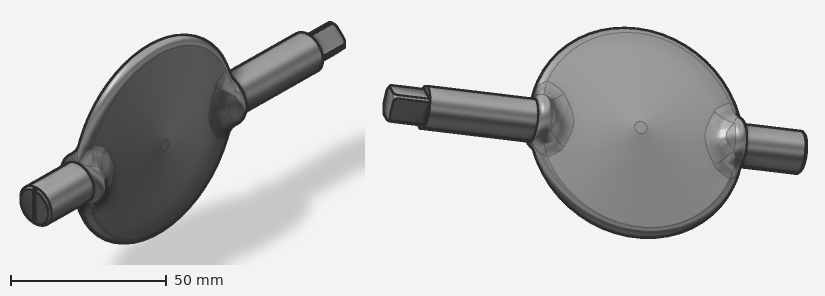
import cadquery as cq
import math

shaft_radius = 7.0
shaft_front_y = -55.8
shaft_shoulder_y = 71.7
front_bevel = 0.8

slot_width = 1.1
slot_depth = 0.8

drive_end_y = 83.7
drive_across_flats = 9.5
drive_corner_radius = 6.1
drive_end_rounding = 1.3

disc_radius = 36.0
disc_flat_radius = 2.1
disc_center_half_thickness = 5.0
disc_rim_radius = 2.7

collar_diameter = 18.0
collar_radius = collar_diameter / 2
bead_radius = 2.5
collar_fillet = 8.4
collar_face_y = math.sqrt(disc_radius**2 - shaft_radius**2)
bead_center_y = collar_face_y - bead_radius
blend_limit_y = bead_center_y + bead_radius / 4


def make_disc():
    """Double cone with small flat centres and a round rim, tangent to the cones."""
    rim_center = disc_radius - disc_rim_radius
    run = rim_center - disc_flat_radius
    sight_angle = math.atan2(disc_center_half_thickness, run)
    sight_length = math.hypot(disc_center_half_thickness, run)
    tangent_angle = math.pi / 2 - (sight_angle - math.asin(disc_rim_radius / sight_length))
    tangent_r = rim_center + disc_rim_radius * math.cos(tangent_angle)
    tangent_x = disc_rim_radius * math.sin(tangent_angle)
    disc = (
        cq.Workplane("XY")
        .moveTo(-disc_center_half_thickness, 0)
        .lineTo(-disc_center_half_thickness, disc_flat_radius)
        .lineTo(-tangent_x, tangent_r)
        .threePointArc((0, disc_radius), (tangent_x, tangent_r))
        .lineTo(disc_center_half_thickness, disc_flat_radius)
        .lineTo(disc_center_half_thickness, 0)
        .close()
        .revolve(360, (0, 0, 0), (1, 0, 0))
    )
    return disc.rotate((0, 0, 0), (1, 0, 0), 90)


def make_collar():
    """Round bead on the +Y side that narrows inward as a 45 degree cone."""
    bead_r = collar_radius - bead_radius
    half_diagonal = bead_radius * math.sqrt(0.5)
    cone_start_r = bead_r + half_diagonal
    cone_start_y = bead_center_y - half_diagonal
    collar = (
        cq.Workplane("XY")
        .moveTo(0, collar_face_y)
        .lineTo(bead_r, collar_face_y)
        .threePointArc(
            (bead_r + half_diagonal, bead_center_y + half_diagonal),
            (collar_radius, bead_center_y),
        )
        .threePointArc(
            (
                bead_r + bead_radius * math.cos(math.pi / 8),
                bead_center_y - bead_radius * math.sin(math.pi / 8),
            ),
            (cone_start_r, cone_start_y),
        )
        .lineTo(0, cone_start_y - cone_start_r)
        .close()
        .revolve(360, (0, 0, 0), (0, 1, 0))
    )
    return collar.rotate((0, 0, 0), (0, 1, 0), 90)


def make_cylinder(radius, start_y, end_y):
    return cq.Workplane("XZ", origin=(0, start_y, 0)).circle(radius).extrude(start_y - end_y)


def make_drive():
    """Square end turned onto its corners, with the corners cut to a cylinder."""
    length = drive_end_y - shaft_shoulder_y
    square = (
        cq.Workplane("XY")
        .box(drive_across_flats, length, drive_across_flats)
        .rotate((0, 0, 0), (0, 1, 0), 45)
        .translate((0, shaft_shoulder_y + length / 2, 0))
    )
    envelope = make_cylinder(drive_corner_radius, shaft_shoulder_y, drive_end_y)
    return square.intersect(envelope.faces(">Y").edges().fillet(drive_end_rounding))


def is_blend_edge(edge):
    """Edges where the collar meets the disc, short of the outer half of the bead."""
    on_joint = edge.geomType() == "BSPLINE" and edge.Center().y > 0
    return on_joint and edge.BoundingBox().ymax < blend_limit_y


def make_body():
    """Disc cut flat at both collar faces, with a collar blended into it on each side."""
    trim = cq.Workplane("XY").box(3 * disc_radius, 2 * collar_face_y, 3 * disc_radius)
    joined = make_disc().intersect(trim).union(make_collar())
    blend_edges = [edge for edge in joined.edges().vals() if is_blend_edge(edge)]
    blended = joined.newObject(blend_edges).fillet(collar_fillet)
    half_depth = 2 * disc_radius
    half_space = (
        cq.Workplane("XY")
        .box(2 * half_depth, half_depth, 2 * half_depth)
        .translate((0, half_depth / 2, 0))
    )
    half = blended.intersect(half_space)
    return half.union(half.mirror("XZ"))


def make_front_shaft():
    """Stub shaft with a bevelled end and a screwdriver slot along Z."""
    shaft = make_cylinder(shaft_radius, shaft_front_y, -bead_center_y)
    slot_length = 3 * shaft_radius
    slot = (
        cq.Workplane("XY")
        .box(slot_width, 2 * slot_depth, slot_length)
        .translate((0, shaft_front_y, 0))
    )
    return shaft.faces("<Y").chamfer(front_bevel).cut(slot)


rear_shaft = make_cylinder(shaft_radius, bead_center_y, shaft_shoulder_y)
result = make_body().union(make_front_shaft()).union(rear_shaft).union(make_drive())